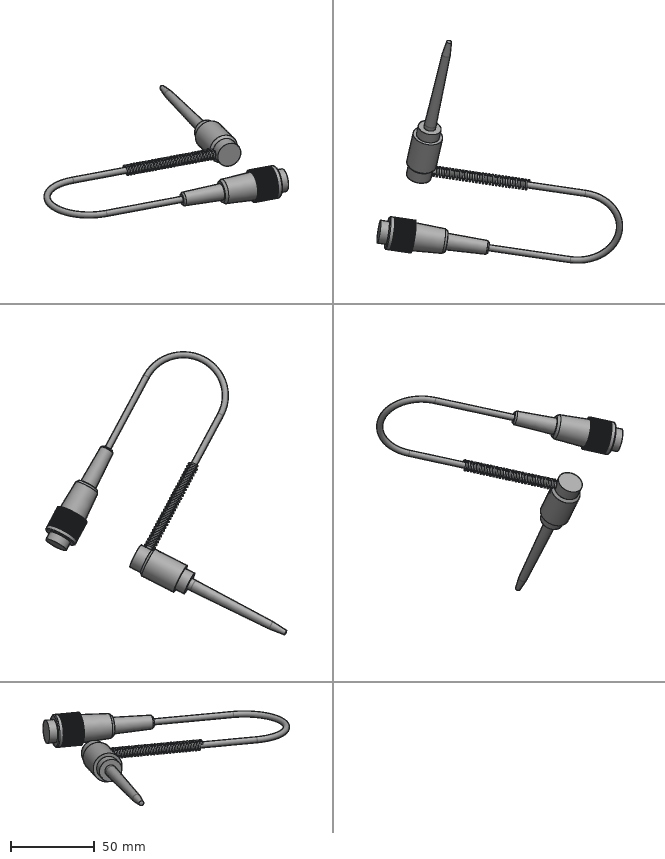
import cadquery as cq
import math

overall_length = 156.2
grip_diameter = 19.8
bend_radius = 25.0
connector_x = overall_length - grip_diameter / 2
lead_x = connector_x - 2 * bend_radius
bend_y = -99.8

tip_diameter = 3.0
tip_dome_height = 0.3
tip_length = 10.0
tip_root_diameter = 5.0
shank_diameter = 7.0
shank_x = 62.5

collar_x = 65.0
collar_diameter = 13.9
barrel_x = 71.1
barrel_diameter = 18.0
barrel_end_x = 92.5
cap_x = 94.0
cap_diameter = 15.0
cap_end_x = 101.2
probe_seat_depth = 5.0
dot_diameter = 1.48
dot_x = 89.5
dot_depth = 0.8

cable_diameter = 3.7
cable_seat_depth = 5.0

wire_diameter = 1.0
spring_diameter = 6.5
spring_pitch = 2 * wire_diameter
spring_start_y = -8.1
spring_end_y = -65.5

plug_end_y = 16.0
plug_diameter = 13.9
grip_end_y = 11.0
grip_chamfer = 0.6
knurl_end_y = 8.1
knurl_start_y = -4.8
groove_count = 100
groove_depth = 0.6
shell_diameter = 17.0
shell_edge_y = -23.1
shell_edge_diameter = 15.0
shell_mouth_y = -24.8
shell_mouth_diameter = 12.8

relief_diameter = 10.2
relief_edge_y = -49.2
relief_edge_diameter = 8.5
relief_mouth_y = -50.3
relief_mouth_diameter = 6.5
relief_seat_depth = 5.0


def turned_along_x(profile):
    """Revolve (x, diameter) stations about the X axis."""
    outline = [(profile[0][0], 0)]
    outline += [(x, diameter / 2) for x, diameter in profile]
    outline.append((profile[-1][0], 0))
    return cq.Workplane("XY").polyline(outline).close().revolve(360, (0, 0, 0), (1, 0, 0))


def turned_along_y(axis_x, profile):
    """Revolve (y, diameter) stations about the line x = axis_x parallel to Y."""
    outline = [(axis_x, profile[0][0])]
    outline += [(axis_x + diameter / 2, y) for y, diameter in profile]
    outline.append((axis_x, profile[-1][0]))
    return cq.Workplane("XY").polyline(outline).close().revolve(360, (axis_x, 0, 0), (axis_x, 1, 0))


def rod_along_y(axis_x, diameter, start_y, end_y):
    return turned_along_y(axis_x, [(start_y, diameter), (end_y, diameter)])


def make_probe():
    seat_x = collar_x + probe_seat_depth
    shank = turned_along_x([
        (tip_dome_height, tip_diameter),
        (tip_length, tip_root_diameter),
        (shank_x, shank_diameter),
        (seat_x, shank_diameter),
    ])
    tip_radius = tip_diameter / 2
    dome_radius = (tip_radius ** 2 + tip_dome_height ** 2) / (2 * tip_dome_height)
    dome = (
        cq.Workplane("XY")
        .moveTo(0, 0)
        .radiusArc((tip_dome_height, tip_radius), dome_radius)
        .lineTo(tip_dome_height, 0)
        .close()
        .revolve(360, (0, 0, 0), (1, 0, 0))
    )
    return shank.union(dome)


def make_handle():
    handle = turned_along_x([
        (collar_x, collar_diameter),
        (barrel_x, collar_diameter),
        (barrel_x, barrel_diameter),
        (barrel_end_x, barrel_diameter),
        (cap_x, cap_diameter),
        (cap_end_x, cap_diameter),
    ])
    probe_seat = turned_along_x([
        (collar_x, shank_diameter),
        (collar_x + probe_seat_depth, shank_diameter),
    ])
    cable_seat = rod_along_y(lead_x, cable_diameter, -cap_diameter, cable_seat_depth - cap_diameter / 2)
    dot = rod_along_y(dot_x, dot_diameter, -barrel_diameter, dot_depth - barrel_diameter / 2)
    return handle.cut(probe_seat).cut(cable_seat).cut(dot)


def make_cable():
    handle_end_y = cable_seat_depth - cap_diameter / 2
    path = (
        cq.Workplane("XY")
        .moveTo(lead_x, handle_end_y)
        .lineTo(lead_x, bend_y)
        .threePointArc((lead_x + bend_radius, bend_y - bend_radius), (connector_x, bend_y))
        .lineTo(connector_x, relief_mouth_y + cable_seat_depth)
    )
    section = cq.Workplane("XZ", origin=(lead_x, handle_end_y, 0)).circle(cable_diameter / 2)
    return section.sweep(path)


def make_spring():
    coil_radius = (spring_diameter - wire_diameter) / 2
    coil = cq.Wire.makeHelix(
        spring_pitch, spring_start_y - spring_end_y, coil_radius,
        center=cq.Vector(lead_x, spring_start_y, 0), dir=cq.Vector(0, -1, 0),
    )
    start = coil.startPoint()
    section = cq.Workplane(cq.Plane(start, xDir=start - cq.Vector(lead_x, spring_start_y, 0),
                                    normal=coil.tangentAt(0))).circle(wire_diameter / 2)
    return section.sweep(cq.Workplane(obj=coil), isFrenet=True)


def make_knurl():
    """Ring of straight V grooves around the grip."""
    outline = []
    for index in range(2 * groove_count):
        radius = grip_diameter / 2 - groove_depth * (index % 2)
        angle = math.pi * index / groove_count
        outline.append((radius * math.cos(angle), radius * math.sin(angle)))
    return (
        cq.Workplane("XZ", origin=(connector_x, knurl_end_y, 0))
        .polyline(outline).close()
        .extrude(knurl_end_y - knurl_start_y)
    )


def make_connector():
    front = turned_along_y(connector_x, [
        (plug_end_y, plug_diameter),
        (grip_end_y, plug_diameter),
        (grip_end_y, grip_diameter - 2 * grip_chamfer),
        (grip_end_y - grip_chamfer, grip_diameter),
        (knurl_end_y, grip_diameter),
    ])
    shell = turned_along_y(connector_x, [
        (knurl_start_y, shell_diameter),
        (shell_edge_y, shell_edge_diameter),
        (shell_mouth_y, shell_mouth_diameter),
    ])
    relief_seat = rod_along_y(
        connector_x, relief_diameter, shell_mouth_y, shell_mouth_y + relief_seat_depth
    )
    return make_knurl().union(front).union(shell).cut(relief_seat)


def make_relief():
    relief = turned_along_y(connector_x, [
        (shell_mouth_y + relief_seat_depth, relief_diameter),
        (shell_mouth_y, relief_diameter),
        (relief_edge_y, relief_edge_diameter),
        (relief_mouth_y, relief_mouth_diameter),
    ])
    cable_seat = rod_along_y(
        connector_x, cable_diameter, relief_mouth_y, relief_mouth_y + cable_seat_depth
    )
    return relief.cut(cable_seat)


probe = make_probe()
handle = make_handle()
cable = make_cable()
spring = make_spring()
connector = make_connector()
relief = make_relief()

result = cq.Compound.makeCompound([
    probe.val(),
    handle.val(),
    cable.val(),
    spring.val(),
    connector.val(),
    relief.val(),
])